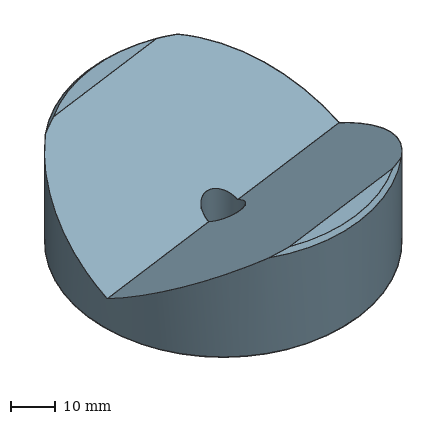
import cadquery as cq
import math

diameter = 80.0
height = 30.0
rim_chamfer = 1.0
hole_diameter = 10.0
valley_height = 10.0
flank_angle = 30.0

valley_depth = height - valley_height
valley_half_width = valley_depth / math.tan(math.radians(flank_angle))


def make_disc():
    """Round block standing on Z = 0, chamfered around both rims."""
    disc = cq.Workplane("XY").circle(diameter / 2).extrude(height)
    return disc.faces("<Z or >Z").edges().chamfer(rim_chamfer)


def make_v_groove():
    """Triangular prism along Y that cuts the V across the full block."""
    return (
        cq.Workplane("XZ")
        .moveTo(0, valley_height)
        .lineTo(valley_half_width, height)
        .lineTo(-valley_half_width, height)
        .close()
        .extrude(diameter / 2, both=True)
    )


def make_center_hole():
    """Vertical through hole in the middle of the V."""
    return cq.Workplane("XY").circle(hole_diameter / 2).extrude(height)


result = make_disc().cut(make_v_groove()).cut(make_center_hole())